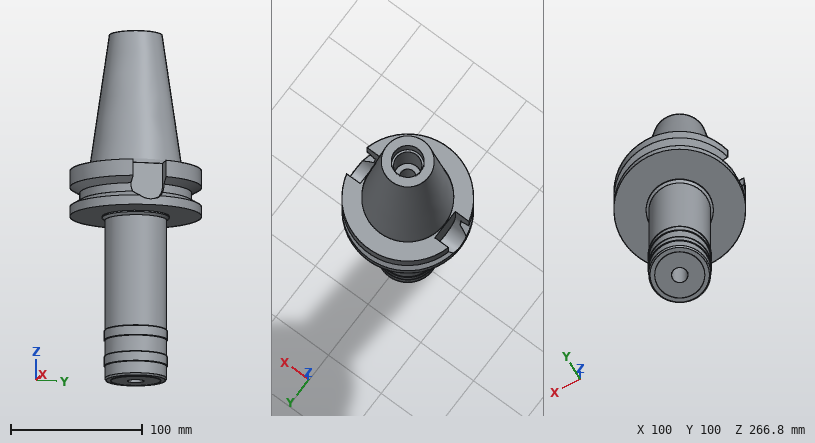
import cadquery as cq
import math


GAUGE_DIAMETER = 69.85
GAUGE_RADIUS = GAUGE_DIAMETER / 2
TAPER_LENGTH = 101.8
TAPER_RATIO = 7 / 24
TAPER_TIP_RADIUS = GAUGE_RADIUS - TAPER_LENGTH * TAPER_RATIO / 2

FLANGE_RADIUS = 50.0
FLANGE_TOP = -3.0
FLANGE_BOTTOM = -38.0
GROOVE_MIDDLE = -23.2
GROOVE_FLOOR_RADIUS = 42.5
GROOVE_FLOOR_WIDTH = 6.5
GROOVE_FLANK_ANGLE = 30.0
GROOVE_FLANK_HEIGHT = (FLANGE_RADIUS - GROOVE_FLOOR_RADIUS) * math.tan(math.radians(GROOVE_FLANK_ANGLE))

SLOT_WIDTH = 25.7
SLOT_FLOOR_X = 35.4
SLOT_DEPTH = 30.6

NOSE_RADIUS = 23.5
NOSE_BOTTOM = -165.0
NOSE_CHAMFER_WIDTH = 1.0
NOSE_CHAMFER_HEIGHT = 1.5
END_PAD_RADIUS = 19.0
END_PAD_HEIGHT = 0.5
COLLAR_RADIUS = 25.5
COLLAR_HEIGHT = 1.0

BAND_STARTS = (11.0, 31.0)
BAND_WIDTH = 8.0
BAND_RISE = 0.5
BAND_EDGE_LENGTH = 0.5

THREAD_RELIEF_RADIUS = 12.5
THREAD_RELIEF_DEPTH = 12.0
THREAD_RADIUS = 10.7
THREAD_DEPTH = 45.0
THROUGH_RADIUS = 6.2


def revolve_profile(profile):
    """Turn a closed (radius, Z) profile around the Z axis."""
    return cq.Workplane("YZ").polyline(profile).close().revolve(360, (0, 0), (0, 1))


def make_body():
    """Revolve the outer profile of taper, flange, collar and nose."""
    groove_top = GROOVE_MIDDLE + GROOVE_FLOOR_WIDTH / 2
    groove_bottom = GROOVE_MIDDLE - GROOVE_FLOOR_WIDTH / 2
    nose_shoulder = NOSE_BOTTOM + END_PAD_HEIGHT
    collar_bottom = FLANGE_BOTTOM - COLLAR_HEIGHT
    profile = [
        (0, NOSE_BOTTOM),
        (END_PAD_RADIUS, NOSE_BOTTOM),
        (END_PAD_RADIUS, nose_shoulder),
        (NOSE_RADIUS - NOSE_CHAMFER_WIDTH, nose_shoulder),
        (NOSE_RADIUS, nose_shoulder + NOSE_CHAMFER_HEIGHT),
        (NOSE_RADIUS, collar_bottom - (COLLAR_RADIUS - NOSE_RADIUS)),
        (COLLAR_RADIUS, collar_bottom),
        (COLLAR_RADIUS, FLANGE_BOTTOM),
        (FLANGE_RADIUS, FLANGE_BOTTOM),
        (FLANGE_RADIUS, groove_bottom - GROOVE_FLANK_HEIGHT),
        (GROOVE_FLOOR_RADIUS, groove_bottom),
        (GROOVE_FLOOR_RADIUS, groove_top),
        (FLANGE_RADIUS, groove_top + GROOVE_FLANK_HEIGHT),
        (FLANGE_RADIUS, FLANGE_TOP),
        (GAUGE_RADIUS, FLANGE_TOP),
        (GAUGE_RADIUS, 0),
        (TAPER_TIP_RADIUS, TAPER_LENGTH),
        (0, TAPER_LENGTH),
    ]
    return revolve_profile(profile)


def make_band(height):
    """Raised band with sloped edges, solid to the axis so that it merges with the nose."""
    start = NOSE_BOTTOM + height
    end = start + BAND_WIDTH
    band_radius = NOSE_RADIUS + BAND_RISE
    profile = [
        (0, start),
        (NOSE_RADIUS, start),
        (band_radius, start + BAND_EDGE_LENGTH),
        (band_radius, end - BAND_EDGE_LENGTH),
        (NOSE_RADIUS, end),
        (0, end),
    ]
    return revolve_profile(profile)


def make_drive_slot(side):
    """Round-ended slot cutter on the given X side (-1 or +1)."""
    end_radius = SLOT_WIDTH / 2
    end_center = FLANGE_TOP - SLOT_DEPTH + end_radius
    return (
        cq.Workplane("YZ", origin=(side * SLOT_FLOOR_X, 0, 0))
        .moveTo(-end_radius, FLANGE_TOP)
        .lineTo(-end_radius, end_center)
        .threePointArc((0, end_center - end_radius), (end_radius, end_center))
        .lineTo(end_radius, FLANGE_TOP)
        .close()
        .extrude(side * FLANGE_RADIUS)
    )


def cut_bore(part):
    """Cut the stepped bore from the small end of the taper."""
    length = TAPER_LENGTH - NOSE_BOTTOM
    steps = [
        (THREAD_RELIEF_RADIUS, THREAD_RELIEF_DEPTH),
        (THREAD_RADIUS, THREAD_DEPTH),
        (THROUGH_RADIUS, length),
    ]
    for radius, depth in steps:
        hole = cq.Workplane("XY", origin=(0, 0, TAPER_LENGTH)).circle(radius).extrude(-depth)
        part = part.cut(hole)
    return part


holder = make_body()
for band_start in BAND_STARTS:
    holder = holder.union(make_band(band_start))
for slot_side in (-1, 1):
    holder = holder.cut(make_drive_slot(slot_side))
result = cut_bore(holder)